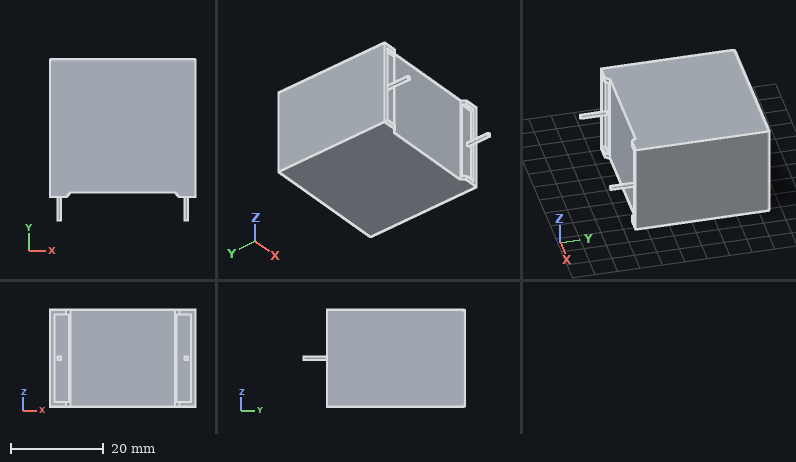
import cadquery as cq

width = 31.5
overall_length = 35.0
height = 21.0
lead_reach = 5.08
housing_length = overall_length - lead_reach

rear_fillet = 0.52
foot_width = 3.55
ramp_run = 0.88
recess_depth = 0.98
pocket_margin = 1.05
pocket_width = 3.08
pocket_depth = 0.77

lead_pitch = 27.45
lead_diameter = 0.85

side_signs = (-1, 1)


def make_housing():
    """Box with its feet on the plane Y = 0, centred on X and Z, rounded at the rear."""
    block = cq.Workplane("XY").box(width, housing_length, height, centered=(True, False, True))
    block = block.faces(">Y").edges().fillet(rear_fillet)
    return block.cut(make_front_recess()).cut(make_lead_pockets())


def make_front_recess():
    """Full-height trapezoidal channel between the two feet."""
    mouth_half = width / 2 - foot_width
    floor_half = mouth_half - ramp_run
    outline = [
        (-mouth_half, 0),
        (mouth_half, 0),
        (floor_half, recess_depth),
        (-floor_half, recess_depth),
    ]
    return cq.Workplane("XY").polyline(outline).close().extrude(height / 2, both=True)


def make_lead_pockets():
    """One rectangular pocket in each foot, breaking into the slope beside it."""
    pocket_offset = width / 2 - pocket_margin - pocket_width / 2
    return (
        cq.Workplane("XY")
        .pushPoints([(sign * pocket_offset, pocket_depth / 2) for sign in side_signs])
        .box(pocket_width, pocket_depth, height - 2 * pocket_margin, combine=False)
    )


def make_lead(x):
    """Round wire lead from the pocket floor out past the feet."""
    return (
        cq.Workplane("XZ", origin=(x, pocket_depth, 0))
        .circle(lead_diameter / 2)
        .extrude(pocket_depth + lead_reach)
    )


housing = make_housing()
leads = [make_lead(sign * lead_pitch / 2) for sign in side_signs]

result = cq.Compound.makeCompound([housing.val(), *[lead.val() for lead in leads]])